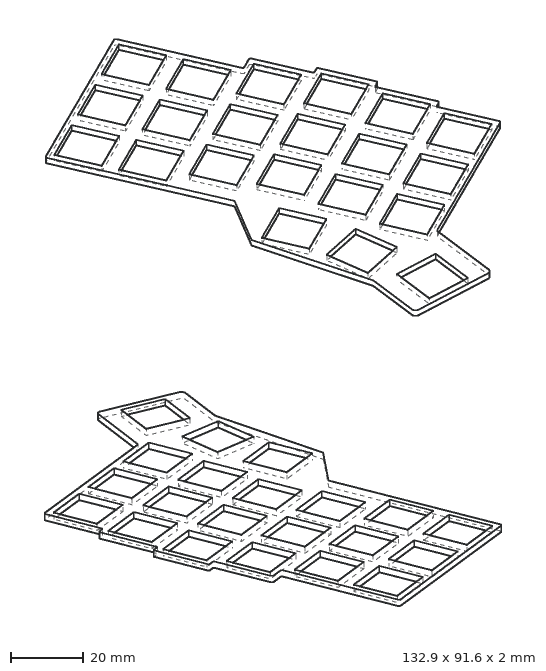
import cadquery as cq
import math

thickness = 2.0
key_pitch = 19.0
opening = 14.0
rim = 2.0

field_corner_radius = 0.7
outer_thumb_radius = 1.3
small_radius = 0.4

rows = 3
column_stagger = [0, 0, 4.8, 7.2, 4.8, 2.4]
pad = opening + 2 * rim
half_pad = pad / 2
column_height = (rows - 1) * key_pitch + pad
field_width = (len(column_stagger) - 1) * key_pitch + pad

inner_thumb = (half_pad + 3.5 * key_pitch, -5.7)
middle_thumb = (96.5, -8.6)
outer_thumb = (118.7, -12.4)
middle_thumb_turn = 15
outer_thumb_turn = 30
outer_thumb_half_length = 13.8
thumb_slope_start = (55.8, 0)
thumb_slope_end = (66.2, -14.6)


def column_left(column):
    return column * key_pitch


def column_right(column):
    return column * key_pitch + pad


def column_top(column):
    return column_height + column_stagger[column]


def outer_thumb_point(across, along):
    """Plate point given in the turned axes of the outer thumb key."""
    turn = math.radians(outer_thumb_turn)
    x = outer_thumb[0] + across * math.cos(turn) + along * math.sin(turn)
    y = outer_thumb[1] - across * math.sin(turn) + along * math.cos(turn)
    return (x, y)


def plate():
    thumb_upper_corner = outer_thumb_point(half_pad, outer_thumb_half_length)
    thumb_lower_corner = outer_thumb_point(half_pad, -outer_thumb_half_length)
    thumb_inner_corner = outer_thumb_point(-half_pad, -outer_thumb_half_length)
    edge_rise = (thumb_upper_corner[0] - field_width) * math.tan(math.radians(outer_thumb_turn))
    field_junction = (field_width, thumb_upper_corner[1] + edge_rise)

    outline = [
        (0, 0),
        (0, column_top(0)),
        (column_left(2), column_top(0)),
        (column_left(2), column_top(2)),
        (column_left(3), column_top(2)),
        (column_left(3), column_top(3)),
        (column_right(3), column_top(3)),
        (column_right(3), column_top(4)),
        (column_right(4), column_top(4)),
        (column_right(4), column_top(5)),
        (field_width, column_top(5)),
        field_junction,
        thumb_upper_corner,
        thumb_lower_corner,
        thumb_inner_corner,
        thumb_slope_end,
        thumb_slope_start,
    ]
    field_corners = [
        (0, 0),
        (0, column_top(0)),
        (column_left(2), column_top(2)),
        (column_right(4), column_top(4)),
        (field_width, column_top(5)),
    ]
    body = cq.Workplane("XY").polyline(outline).close().extrude(thickness)
    for corner in outline:
        if corner in (thumb_upper_corner, thumb_lower_corner):
            radius = outer_thumb_radius
        elif corner in field_corners:
            radius = field_corner_radius
        else:
            radius = small_radius
        corner_edge = cq.selectors.NearestToPointSelector((*corner, thickness / 2))
        body = body.edges("|Z").edges(corner_edge).fillet(radius)
    return body


def switch_opening(centre, turn=0):
    cutter = cq.Workplane("XY").rect(opening, opening).extrude(thickness)
    return cutter.rotate((0, 0, 0), (0, 0, 1), -turn).translate((*centre, 0))


result = plate()

for column, stagger in enumerate(column_stagger):
    for row in range(rows):
        key_centre = (half_pad + column * key_pitch, half_pad + row * key_pitch + stagger)
        result = result.cut(switch_opening(key_centre))

result = result.cut(switch_opening(inner_thumb))
result = result.cut(switch_opening(middle_thumb, middle_thumb_turn))
result = result.cut(switch_opening(outer_thumb, outer_thumb_turn))